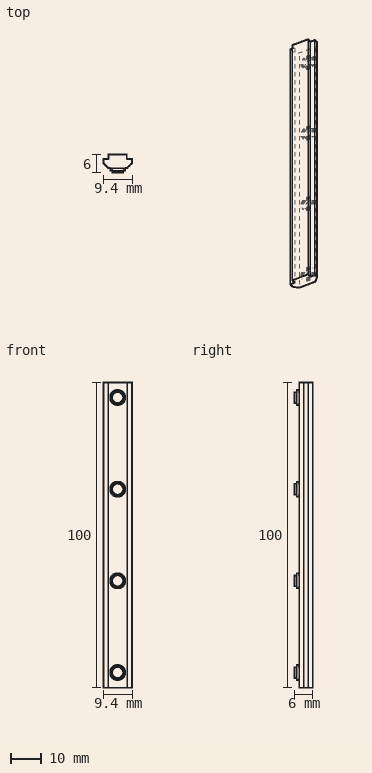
import cadquery as cq

length = 100.0
width = 9.4
rib_width = 6.0
rib_depth = 1.5
flange_depth = 1.4
bevel_depth = 1.6

stud_count = 4
stud_pitch = 30.0
collar_diameter = 5.0
collar_height = 0.8
bore_diameter = 4.2
pin_diameter = 3.6
total_depth = 6.0

face_width = width - 2 * bevel_depth
rail_depth = rib_depth + flange_depth + bevel_depth
pin_height = total_depth - rail_depth
end_margin = (length - (stud_count - 1) * stud_pitch) / 2


def make_rail():
    """Profile with its front face at Y = 0 and its rib toward +Y."""
    shoulder = bevel_depth + flange_depth
    right_side = [
        (face_width / 2, 0),
        (width / 2, bevel_depth),
        (width / 2, shoulder),
        (rib_width / 2, shoulder),
        (rib_width / 2, rail_depth),
    ]
    left_side = [(-x, y) for x, y in reversed(right_side)]
    return cq.Workplane("XY").polyline(right_side + left_side).close().extrude(length)


def make_stud(z):
    """Bored collar with a pin inside, standing on the front face and pointing toward -Y."""
    face = cq.Workplane("XZ", origin=(0, 0, z))
    collar = face.circle(collar_diameter / 2).circle(bore_diameter / 2).extrude(collar_height)
    pin = face.circle(pin_diameter / 2).extrude(pin_height)
    return collar, pin


result = make_rail()
for index in range(stud_count):
    collar, pin = make_stud(end_margin + index * stud_pitch)
    result = result.union(collar).union(pin)